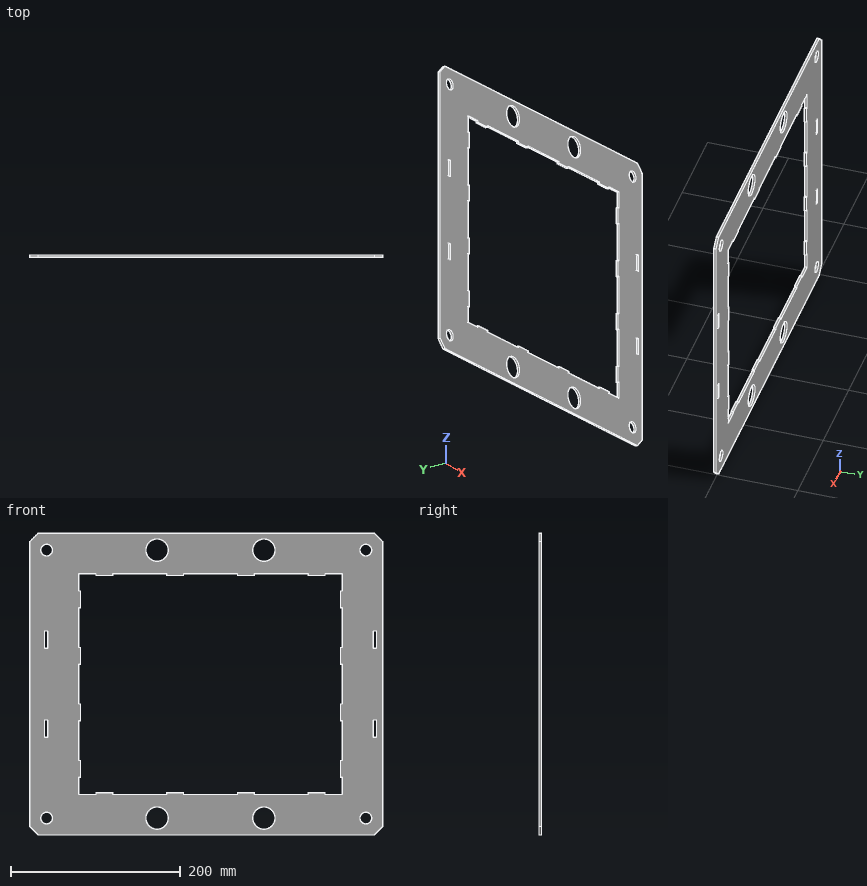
import cadquery as cq

plate_width = 416.5
plate_height = 356.0
thickness = 3.0
corner_chamfer = 10.0

window_width = 310.5
window_height = 260.0
window_margin = (plate_height - window_height) / 2
window_center_x = plate_width / 2 - window_margin - window_width / 2

tab_length = 20.0
tab_depth = 2.0
tab_corner_clearance = 20.0
tabs_per_side = 4

hole_edge_distance = 20.0
mounting_hole_diameter = 13.5
mounting_hole_spacing = plate_width - 2 * hole_edge_distance
large_hole_diameter = 26.0
large_hole_spacing = 126.0
hole_row_z = plate_height / 2 - hole_edge_distance

slot_width = 3.5
slot_length = 20.0
slot_spacing_x = 387.5
slot_spacing_z = 105.0


def prism(center_x, width, height):
    """Rectangular prism through the plate thickness, centered at the given X."""
    return cq.Workplane("XY").box(width, thickness, height).translate((center_x, 0, 0))


def tab_positions(side_length):
    """Tab centers along a window side, measured from the middle of the side."""
    end_position = side_length / 2 - tab_corner_clearance - tab_length / 2
    pitch = 2 * end_position / (tabs_per_side - 1)
    return [-end_position + index * pitch for index in range(tabs_per_side)]


def make_plate():
    """Rectangular plate with its four corners cut off."""
    plate = prism(0, plate_width, plate_height)
    return plate.edges("|Y").chamfer(corner_chamfer)


def make_window():
    """Window volume with the tab outlines removed from its border."""
    window = prism(window_center_x, window_width, window_height)
    tab_x = (window_width - tab_depth) / 2
    tab_z = (window_height - tab_depth) / 2
    for side in (-1, 1):
        for along in tab_positions(window_width):
            tab = prism(window_center_x + along, tab_length, tab_depth)
            window = window.cut(tab.translate((0, 0, side * tab_z)))
        for along in tab_positions(window_height):
            tab = prism(window_center_x + side * tab_x, tab_depth, tab_length)
            window = window.cut(tab.translate((0, 0, along)))
    return window


def make_hole_pattern(center_x, spacing_x, diameter):
    """Four through holes: a pair in the top row and a pair in the bottom row."""
    return (
        cq.Workplane("XZ", origin=(center_x, 0, 0))
        .rarray(spacing_x, 2 * hole_row_z, 2, 2)
        .circle(diameter / 2)
        .extrude(thickness / 2, both=True)
    )


def make_slots():
    """Four upright through slots, two on each side of the window."""
    return (
        cq.Workplane("XZ", origin=(window_center_x, 0, 0))
        .rarray(slot_spacing_x, slot_spacing_z, 2, 2)
        .rect(slot_width, slot_length)
        .extrude(thickness / 2, both=True)
    )


result = (
    make_plate()
    .cut(make_window())
    .cut(make_hole_pattern(0, mounting_hole_spacing, mounting_hole_diameter))
    .cut(make_hole_pattern(window_center_x, large_hole_spacing, large_hole_diameter))
    .cut(make_slots())
)